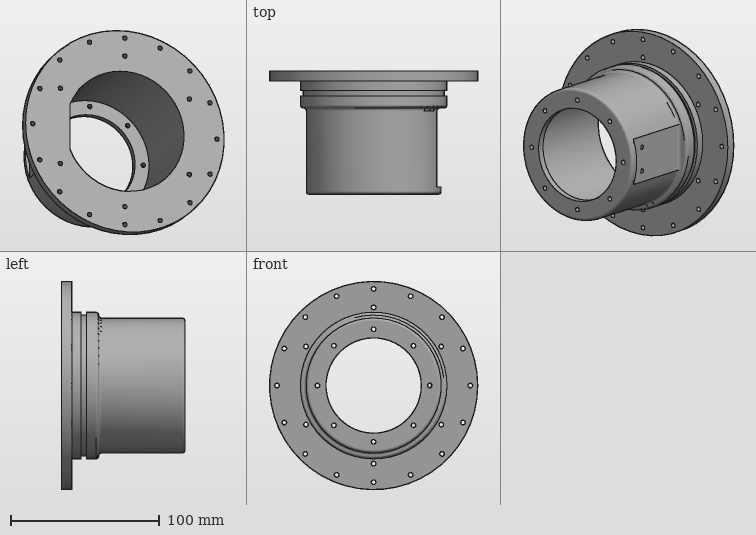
import cadquery as cq
import math


total_length = 83.0
flange_thickness = 7.0
flange_front = total_length - flange_thickness
rear_land_width = 6.2
groove_width = 3.6
collar_length = 18.0
groove_back = flange_front - rear_land_width
groove_front = groove_back - groove_width
shoulder_face = flange_front - collar_length
lip_thickness = 5.0

flange_radius = 70.0
barrel_radius = 45.4
edge_radius = 2.0
collar_radius = barrel_radius + 2 * edge_radius
groove_depth = 1.8
groove_radius = collar_radius - groove_depth
lip_bore_radius = 31.9
bore_radius = 41.7

outer_flat_x = 42.5
inner_flat_x = 38.6

hole_diameter = 3.0
flange_outer_pattern = (16, 65.0)
flange_inner_pattern = (6, 52.5)
lip_pattern = (8, 37.8)
flat_hole_diameter = 3.0
flat_hole_y = 15.1
flat_hole_offset = 8.3

arc_mid = edge_radius * (1 - math.sqrt(0.5))


def turned_body():
    """Solid outside of the sleeve, with its rounded end, shoulder and seal groove."""
    fillet_start = shoulder_face - edge_radius
    round_end = shoulder_face + edge_radius
    profile = (
        cq.Workplane("XY")
        .lineTo(barrel_radius - edge_radius, 0)
        .threePointArc((barrel_radius - arc_mid, arc_mid), (barrel_radius, edge_radius))
        .lineTo(barrel_radius, fillet_start)
        .threePointArc(
            (barrel_radius + arc_mid, shoulder_face - arc_mid),
            (barrel_radius + edge_radius, shoulder_face),
        )
        .threePointArc(
            (collar_radius - arc_mid, shoulder_face + arc_mid),
            (collar_radius, round_end),
        )
        .lineTo(collar_radius, groove_front)
        .lineTo(groove_radius, groove_front)
        .lineTo(groove_radius, groove_back)
        .lineTo(collar_radius, groove_back)
        .lineTo(collar_radius, flange_front)
        .lineTo(flange_radius, flange_front)
        .lineTo(flange_radius, total_length)
        .lineTo(0, total_length)
        .close()
    )
    return profile.revolve(360, (0, 0, 0), (0, 1, 0))


def outer_flat_cut():
    """Cutter for the flat between lip and shoulder, filleted into the shoulder face."""
    return (
        cq.Workplane("XY")
        .moveTo(outer_flat_x, lip_thickness)
        .lineTo(outer_flat_x, shoulder_face - edge_radius)
        .threePointArc(
            (outer_flat_x + arc_mid, shoulder_face - arc_mid),
            (outer_flat_x + edge_radius, shoulder_face),
        )
        .lineTo(flange_radius, shoulder_face)
        .lineTo(flange_radius, lip_thickness)
        .close()
        .extrude(barrel_radius, both=True)
    )


def axial_cylinder(radius, start, end):
    """Cylinder on the Y axis between two stations."""
    return cq.Workplane("XZ", origin=(0, start, 0)).circle(radius).extrude(start - end)


def bore_cut():
    """Lip opening, and the wider bore behind it with a flat on its +X side."""
    wide_bore = axial_cylinder(bore_radius, lip_thickness, total_length)
    beyond_flat = (
        cq.Workplane("XY")
        .box(bore_radius, total_length, 2 * bore_radius, centered=(False, False, True))
        .translate((inner_flat_x, 0, 0))
    )
    return wide_bore.cut(beyond_flat).union(axial_cylinder(lip_bore_radius, 0, total_length))


def hole_ring(pattern, start, end):
    """Ring of equal axial holes between two stations, one of them straight up at +Z."""
    count, ring_radius = pattern
    return (
        cq.Workplane("XZ", origin=(0, start, 0))
        .polarArray(ring_radius, 90, 360, count)
        .circle(hole_diameter / 2)
        .extrude(start - end)
    )


def flat_holes():
    """Pair of holes through the wall between the inner and outer flats."""
    return (
        cq.Workplane("YZ", origin=(inner_flat_x, 0, 0))
        .pushPoints([(flat_hole_y, side * flat_hole_offset) for side in (-1, 1)])
        .circle(flat_hole_diameter / 2)
        .extrude(barrel_radius - inner_flat_x)
    )


result = (
    turned_body()
    .cut(outer_flat_cut())
    .cut(bore_cut())
    .cut(hole_ring(flange_outer_pattern, flange_front, total_length))
    .cut(hole_ring(flange_inner_pattern, flange_front, total_length))
    .cut(hole_ring(lip_pattern, 0, lip_thickness))
    .cut(flat_holes())
)